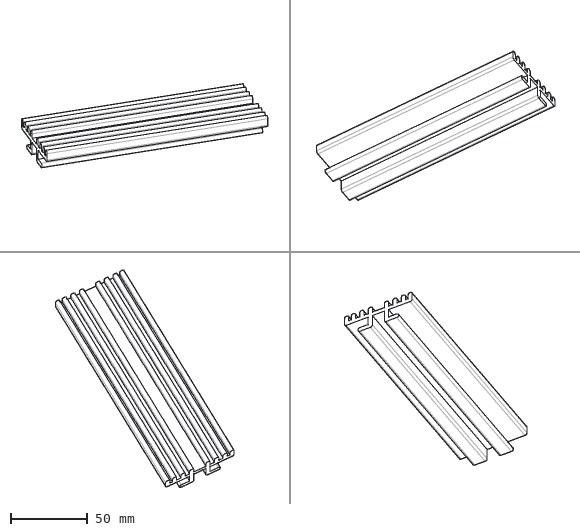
import cadquery as cq

length = 152.4
width = 50.8
wall = 3.175
fin_height = 4.75
stem_height = 6.35
inner_fin_count = 3
fin_pitch = 6.35
inner_fin_x = 6.0325
foot_tip_x = 15.24

round_radius = wall / 2
total_height = wall + stem_height + wall + fin_height
top_z = total_height / 2
bottom_z = -total_height / 2
foot_top_z = bottom_z + wall
plate_bottom_z = foot_top_z + stem_height
plate_middle_z = plate_bottom_z + wall / 2
outer_fin_x = (width - wall) / 2
fin_centres = [inner_fin_x + i * fin_pitch for i in range(inner_fin_count)] + [outer_fin_x]


def make_plate():
    """Flat base plate with rounded lower outer edges."""
    return (
        cq.Workplane("XY", origin=(0, 0, plate_bottom_z))
        .box(width, length, wall, centered=(True, True, False))
        .edges("|Y and <Z")
        .fillet(round_radius)
    )


def make_fin(x_centre):
    """Fin rising from the plate, with a fully rounded tip."""
    shoulder_z = top_z - round_radius
    left_x = x_centre - wall / 2
    right_x = x_centre + wall / 2
    return (
        cq.Workplane("XZ", origin=(0, length / 2, 0))
        .moveTo(left_x, plate_middle_z)
        .lineTo(left_x, shoulder_z)
        .threePointArc((x_centre, top_z), (right_x, shoulder_z))
        .lineTo(right_x, plate_middle_z)
        .close()
        .extrude(length)
    )


def make_leg():
    """L-shaped leg: stem under the innermost fin, foot turned outward to a rounded tip."""
    stem_inner_x = inner_fin_x - wall / 2
    stem_outer_x = inner_fin_x + wall / 2
    tip_start_x = foot_tip_x - round_radius
    return (
        cq.Workplane("XZ", origin=(0, length / 2, 0))
        .moveTo(stem_inner_x, plate_middle_z)
        .lineTo(stem_inner_x, bottom_z + round_radius)
        .radiusArc((stem_inner_x + round_radius, bottom_z), -round_radius)
        .lineTo(tip_start_x, bottom_z)
        .threePointArc((foot_tip_x, bottom_z + round_radius), (tip_start_x, foot_top_z))
        .lineTo(stem_outer_x, foot_top_z)
        .lineTo(stem_outer_x, plate_middle_z)
        .close()
        .extrude(length)
    )


def make_half():
    """Fins and leg on the +X side."""
    half = make_leg()
    for x_centre in fin_centres:
        half = half.union(make_fin(x_centre))
    return half


right_half = make_half()
left_half = right_half.mirror("YZ")
result = make_plate().union(right_half).union(left_half).clean()